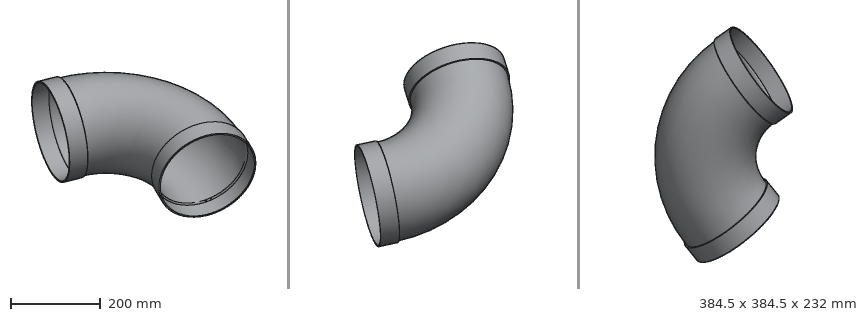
import cadquery as cq
import math

pipe_diameter = 225.0
collar_diameter = 232.0
collar_length = 43.5
wall = 3.5
bend_radius = pipe_diameter
bend_angle = 90.0

pipe_radius = pipe_diameter / 2
bore_radius = pipe_radius - wall
collar_radius = collar_diameter / 2
socket_radius = collar_radius - wall

stop_radius = socket_radius - bore_radius


def bent_pipe():
    """Hollow quarter torus from the origin (facing -Y) round to the +X end."""
    return (
        cq.Workplane("XZ")
        .circle(pipe_radius)
        .circle(bore_radius)
        .revolve(bend_angle, (bend_radius, 1, 0), (bend_radius, 0, 0))
    )


def front_collar():
    """Socket collar on the -Y end, its half section revolved about the Y axis."""
    arc_offset = stop_radius * math.sqrt(0.5)
    arc_middle = (socket_radius - arc_offset, -arc_offset)
    return (
        cq.Workplane("XY")
        .moveTo(bore_radius, 0)
        .lineTo(collar_radius, 0)
        .lineTo(collar_radius, -collar_length)
        .lineTo(socket_radius, -collar_length)
        .lineTo(socket_radius, -stop_radius)
        .threePointArc(arc_middle, (bore_radius, 0))
        .close()
        .revolve(360, (0, 0, 0), (0, 1, 0))
    )


def side_collar():
    """The same collar turned to face +X at the far end of the bend."""
    return (
        front_collar()
        .rotate((0, 0, 0), (0, 0, 1), bend_angle)
        .translate((bend_radius, bend_radius, 0))
    )


result = bent_pipe().union(front_collar()).union(side_collar())